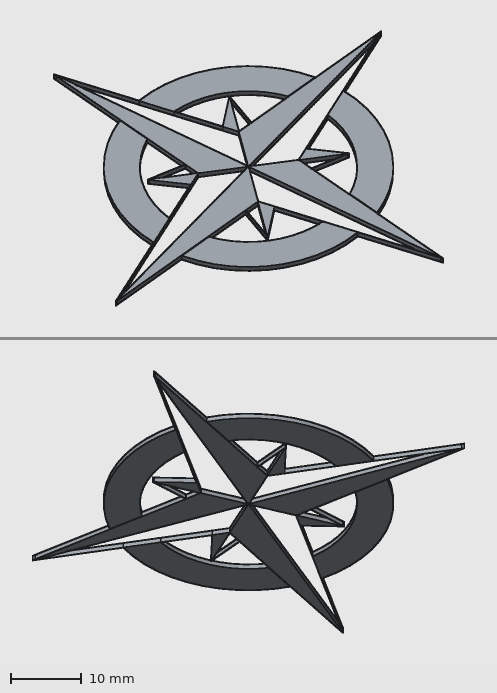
import cadquery as cq
import math

THICKNESS = 0.8
ARM_REACH = 33.4
ARM_CELLS = 6.5
EDGE_OFFSET = 0.035
RING_GAP = 0.1
POINT_HALF_ANGLE = 19.5
ARM_COUNT = 4
ARM_STEP = 360 / ARM_COUNT
DIAGONAL = 45.0

arm_length = ARM_REACH - EDGE_OFFSET
cell = arm_length / ARM_CELLS
valley = cell
point_length = 2 * cell * math.sqrt(2)
ring_inner_radius = 3 * cell
ring_outer_radius = 4 * cell

point_valley = point_length / (1 + 1 / math.tan(math.radians(POINT_HALF_ANGLE)))

CENTRE = (0, 0)


def offset_plate(outline, offset, corners):
    """Full-thickness plate on a closed outline grown (or, if negative, shrunk) by the offset."""
    return cq.Workplane("XY").polyline(outline).close().offset2D(offset, corners).extrude(THICKNESS)


def around(body, start=0.0):
    """Join copies of a body at each of the evenly spaced directions."""
    copies = cq.Workplane("XY")
    for index in range(ARM_COUNT):
        copies = copies.union(body.rotate((0, 0, 0), (0, 0, 1), start + index * ARM_STEP))
    return copies


def kite_plate(length, corner):
    """Kite along +X with slightly rounded tips; corner is the X and Y of its side corners."""
    outline = [CENTRE, (corner, -corner), (length, 0), (corner, corner)]
    return offset_plate(outline, EDGE_OFFSET, "arc")


def kite_opening(length, corner):
    """Cutter for the clockwise half of a kite, leaving a thin frame around it."""
    outline = [CENTRE, (corner, -corner), (length, 0)]
    return offset_plate(outline, -EDGE_OFFSET, "intersection")


arm_kites = around(kite_plate(arm_length, valley))
arm_openings = around(kite_opening(arm_length, valley))
main_star = arm_kites.cut(arm_openings)

point = kite_plate(point_length, point_valley).cut(kite_opening(point_length, point_valley))
diagonal_points = around(point, DIAGONAL).cut(arm_kites)

solid_half = [CENTRE, (arm_length, 0), (valley, valley)]
arm_clearance = around(offset_plate(solid_half, EDGE_OFFSET + RING_GAP, "arc"))
ring = cq.Workplane("XY").circle(ring_outer_radius).circle(ring_inner_radius).extrude(THICKNESS)
ring = ring.cut(arm_clearance).cut(arm_openings)

result = main_star.union(diagonal_points).union(ring)